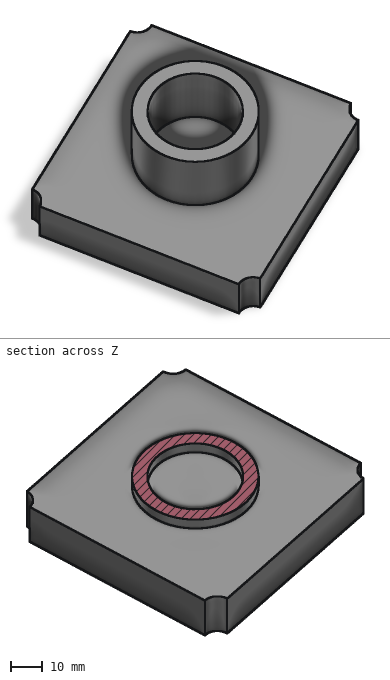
import cadquery as cq

plate_side = 80
plate_thickness = 15.0
total_height = 37.5
tube_outer_diameter = 40
tube_bore_diameter = 30.0
corner_notch_radius = 5.0

tube_height = total_height - plate_thickness


def square_plate():
    """Square base plate with a concave quarter-round notch at each corner."""
    plate = cq.Workplane("XY").rect(plate_side, plate_side).extrude(plate_thickness)
    notches = (
        cq.Workplane("XY")
        .rect(plate_side, plate_side, forConstruction=True)
        .vertices()
        .circle(corner_notch_radius)
        .extrude(plate_thickness)
    )
    return plate.cut(notches)


def tube():
    """Central tube standing on the plate; its bore ends at the plate's top face."""
    return (
        cq.Workplane("XY")
        .workplane(offset=plate_thickness)
        .circle(tube_outer_diameter / 2)
        .circle(tube_bore_diameter / 2)
        .extrude(tube_height)
    )


result = square_plate().union(tube())